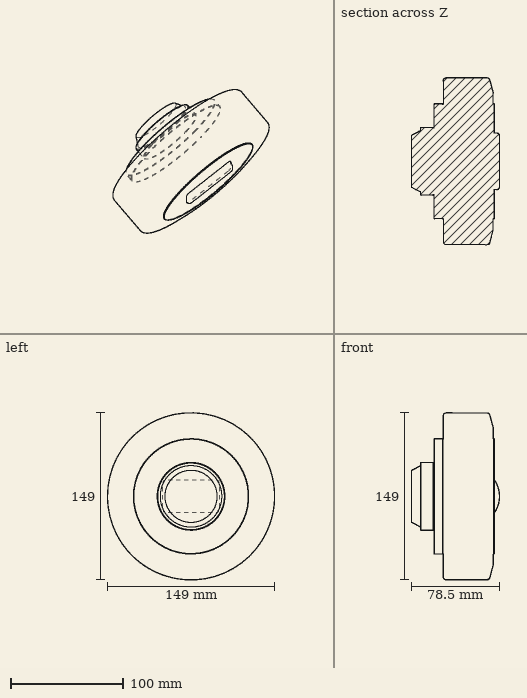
import cadquery as cq
import math

cone_end = 7.9
hub_end = 20.0
body_start = 28.2
body_end = 73.0
rear_disc_end = 73.9
total_length = 78.5

cone_tip_radius = 23.2
cone_base_radius = 27.4
hub_radius = 30.2
flange_radius = 51.4
body_radius = 74.5
taper_end_radius = 60.8
taper_angle = 15.0

hub_chamfer = 0.6
flange_chamfer = 0.5
rim_fillet = 3.0

roller_radius = 25.3
roller_length = 50.7
roller_fillet = 2.7


def disc(start, end, radius):
    """Cylinder about the X axis between two axial stations."""
    return cq.Workplane("YZ", origin=(start, 0, 0)).circle(radius).extrude(end - start)


def make_cone():
    profile = [(0, 0), (0, cone_tip_radius), (cone_end, cone_base_radius), (cone_end, 0)]
    return cq.Workplane("XY").polyline(profile).close().revolve(360, (0, 0, 0), (1, 0, 0))


def make_body():
    """Wheel with a tapered rear rim and both rim corners rounded."""
    taper_width = (body_radius - taper_end_radius) * math.tan(math.radians(taper_angle))
    taper_start = body_end - taper_width
    profile = [
        (body_start, 0),
        (body_start, body_radius),
        (taper_start, body_radius),
        (body_end, taper_end_radius),
        (body_end, 0),
    ]
    body = cq.Workplane("XY").polyline(profile).close().revolve(360, (0, 0, 0), (1, 0, 0))
    outer_rims = cq.selectors.RadiusNthSelector(-1)
    return body.edges(outer_rims).fillet(rim_fillet)


def make_roller():
    roller = cq.Workplane("XZ").circle(roller_radius).extrude(roller_length / 2, both=True)
    roller = roller.faces("|Y").edges().fillet(roller_fillet)
    return roller.translate((total_length - roller_radius, 0, 0))


hub = disc(cone_end, hub_end, hub_radius).faces("|X").edges().chamfer(hub_chamfer)
flange = disc(hub_end, body_start, flange_radius).faces("|X").edges().chamfer(flange_chamfer)
rear_disc = disc(body_end, rear_disc_end, flange_radius).faces(">X").edges().chamfer(flange_chamfer)

result = make_cone().union(hub).union(flange).union(make_body()).union(rear_disc).union(make_roller())